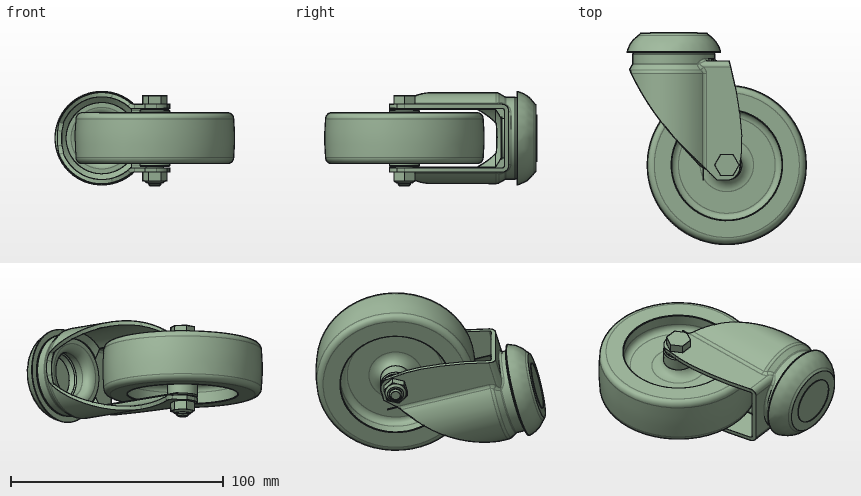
import cadquery as cq
import math


wheel_radius = 37.5
wheel_width = 24.0
tread_crown = 0.4
shoulder_radius = 3.0
recess_radius = 25.9
recess_chamfer = 0.3
recess_corner = 3.2
web_thickness = 6.6
hub_radius = 7.1
hub_length = 26.7
hub_chamfer = 0.6
hub_flare_radius = 12.6
hub_flare_height = 3.4
bush_radius = 4.2

axle_radius = 3.0
hex_across_flats = 10.0
hex_height = 4.1
bolt_tip = 2.4
bolt_tip_chamfer = 0.8
nut_collar_base_radius = 5.0
nut_collar_end_radius = 3.8
nut_collar_height = 1.0

sheet = 2.0
fork_half_width = 15.9
fork_inner_half_width = fork_half_width - sheet
bend_inner_radius = 1.0
bend_outer_radius = bend_inner_radius + sheet
crown_top = 48.9
leg_end = -7.1
swivel_offset = 24.9
shroud_radius = 21.4
shroud_inner_radius = shroud_radius - sheet
neck_radius = 19.3
neck_bore_radius = 16.7
neck_top = 52.0
cone_top = 47.4
cone_bottom = 43.9
inner_cone_top = 45.4
inner_cone_bottom = 42.9
cone_bottom_blend = 3.0
leg_blend_radius = 2.8
crown_blend_radius = 1.1
blend_split_height = 45.8
window_apex = 46.1
window_apex_x = -46.3
front_edge_tip = (-4.6, leg_end)
front_edge_bend = (-19.9, 8.0)
cut_depth = 1.2 * sheet
trim_half_depth = 2 * fork_half_width
trim_front = -59.8
trim_top = 59.8

head_radius = 22.0
head_top = 99.7 - wheel_radius
head_bottom = 52.8
head_rim = 0.4
head_collar_radius = 19.1
dome_middle = (20.1, 57.4)
dome_top = 60.9
dome_top_radius = 16.6
crown_edge_radius = 15.5
boss_radius = 11.0
boss_height = 0.3
seat_face = 45.9
mouth_radius = 14.5
mouth_middle = (11.8, 47.2)
throat_radius = 10.8
throat_height = 50.8
cavity_radius = 12.0
cavity_step_radius = 11.4
cavity_step = 55.8
ceiling_radius = 10.2
ceiling = 58.8


def revolve_about_axle(outline):
    """Turn an outline drawn as (radius, z) about the Z axis."""
    return outline.close().revolve(360, (0, 0, 0), (0, 1, 0))


def revolve_about_swivel(outline):
    """Turn an outline drawn as (radius, y) about the swivel axis."""
    return outline.close().revolve(360, (0, 0, 0), (0, 1, 0)).translate((-swivel_offset, 0, 0))


def make_wheel():
    half_width = wheel_width / 2
    shoulder_start = half_width - shoulder_radius
    edge_radius = wheel_radius - tread_crown
    bulge = shoulder_radius * math.sqrt(0.5)
    core_radius = recess_radius + recess_chamfer
    blank = revolve_about_axle(
        cq.Workplane("XZ")
        .moveTo(axle_radius, -fork_inner_half_width)
        .lineTo(axle_radius, fork_inner_half_width)
        .lineTo(core_radius, fork_inner_half_width)
        .lineTo(core_radius, half_width)
        .lineTo(edge_radius - shoulder_radius, half_width)
        .threePointArc(
            (edge_radius - shoulder_radius + bulge, shoulder_start + bulge),
            (edge_radius, shoulder_start),
        )
        .threePointArc((wheel_radius, 0), (edge_radius, -shoulder_start))
        .threePointArc(
            (edge_radius - shoulder_radius + bulge, -shoulder_start - bulge),
            (edge_radius - shoulder_radius, -half_width),
        )
        .lineTo(core_radius, -half_width)
        .lineTo(core_radius, -fork_inner_half_width)
    )
    recess = wheel_recess()
    return blank.cut(recess).cut(recess.mirror("XY"))


def wheel_recess():
    """Ring-shaped space around the bush and hub on the upper side of the wheel."""
    half_width = wheel_width / 2
    half_web = web_thickness / 2
    half_hub = hub_length / 2
    core_radius = recess_radius + recess_chamfer
    corner_centre = (recess_radius - recess_corner, half_web + recess_corner)
    corner_bulge = recess_corner * math.sqrt(0.5)
    flare_width = hub_flare_radius - hub_radius
    flare_radius = (flare_width**2 + hub_flare_height**2) / (2 * hub_flare_height)
    half_sweep = math.asin(flare_width / flare_radius) / 2
    flare_middle = (
        hub_flare_radius - flare_radius * math.sin(half_sweep),
        half_web + flare_radius * (1 - math.cos(half_sweep)),
    )
    return revolve_about_axle(
        cq.Workplane("XZ")
        .moveTo(bush_radius, fork_inner_half_width)
        .lineTo(bush_radius, half_hub)
        .lineTo(hub_radius - hub_chamfer, half_hub)
        .lineTo(hub_radius, half_hub - hub_chamfer)
        .lineTo(hub_radius, half_web + hub_flare_height)
        .threePointArc(flare_middle, (hub_flare_radius, half_web))
        .lineTo(corner_centre[0], half_web)
        .threePointArc(
            (corner_centre[0] + corner_bulge, corner_centre[1] - corner_bulge),
            (recess_radius, corner_centre[1]),
        )
        .lineTo(recess_radius, half_width - recess_chamfer)
        .lineTo(core_radius, half_width)
        .lineTo(core_radius, fork_inner_half_width)
    )


def hex_prism(bottom):
    corner_diameter = hex_across_flats / math.cos(math.pi / 6)
    return cq.Workplane("XY").workplane(offset=bottom).polygon(6, corner_diameter).extrude(hex_height)


def nut_bottom():
    return -fork_half_width - hex_height


def make_bolt():
    tip = nut_bottom() - bolt_tip
    shank = cq.Workplane("XY").workplane(offset=tip).circle(axle_radius).extrude(fork_half_width - tip)
    shank = shank.faces("<Z").chamfer(bolt_tip_chamfer)
    return shank.union(hex_prism(fork_half_width))


def make_nut():
    collar = revolve_about_axle(
        cq.Workplane("XZ")
        .moveTo(0, nut_bottom())
        .lineTo(nut_collar_base_radius, nut_bottom())
        .lineTo(nut_collar_end_radius, nut_bottom() - nut_collar_height)
        .lineTo(0, nut_bottom() - nut_collar_height)
    )
    nut = hex_prism(nut_bottom()).union(collar)
    return nut.cut(axle_hole())


def axle_hole():
    length = 3 * fork_half_width
    return cq.Workplane("XY").circle(axle_radius).extrude(length, both=True)


def leg_block(start, half_width, top, bend_radius):
    """Block with two rounded top edges, reaching from beside the swivel axis past the legs."""
    length = swivel_offset + wheel_radius - start
    height = top - 2 * leg_end
    return (
        cq.Workplane("XY")
        .box(length, height, 2 * half_width, centered=(False, False, True))
        .edges("|X and >Y")
        .fillet(bend_radius)
        .translate((start - swivel_offset, top - height, 0))
    )


def level_rings(body, height):
    """Long round edges of the shroud that lie flat at one height."""
    edges = body.edges("%CIRCLE").vals()
    flat = [edge for edge in edges if edge.BoundingBox().ylen < 0.01]
    return body.newObject([e for e in flat if abs(e.Center().y - height) < 0.01 and e.Length() > shroud_radius])


def junction_edges(body, bottom, top):
    """Edges where the leg block runs out of the shroud, between two heights."""
    reach = fork_half_width + 1
    zone = cq.selectors.BoxSelector((-15.9, bottom, -reach), (-5, top, reach))
    return body.edges(zone)


def fork_outside():
    shroud = revolve_about_swivel(
        cq.Workplane("XY")
        .moveTo(0, 2 * leg_end)
        .lineTo(shroud_radius, 2 * leg_end)
        .lineTo(shroud_radius, cone_bottom)
        .lineTo(neck_radius, cone_top)
        .lineTo(neck_radius, neck_top)
        .lineTo(0, neck_top)
    )
    body = shroud.union(leg_block(0, fork_half_width, crown_top, bend_outer_radius))
    body = level_rings(body, cone_bottom).fillet(cone_bottom_blend)
    body = junction_edges(body, leg_end, blend_split_height).fillet(leg_blend_radius)
    return junction_edges(body, blend_split_height, 49.8).fillet(crown_blend_radius)


def fork_inside():
    shroud = revolve_about_swivel(
        cq.Workplane("XY")
        .moveTo(0, 2 * leg_end)
        .lineTo(shroud_inner_radius, 2 * leg_end)
        .lineTo(shroud_inner_radius, inner_cone_bottom)
        .lineTo(neck_bore_radius, inner_cone_top)
        .lineTo(neck_bore_radius, neck_top)
        .lineTo(0, neck_top)
    )
    gap_start = fork_inner_half_width
    gap = leg_block(gap_start, fork_inner_half_width, crown_top - sheet, bend_inner_radius)
    return shroud.union(gap)


def leg_outline():
    """Prism along Z that trims the rear edge and the tip of the legs."""
    return (
        cq.Workplane("XY")
        .workplane(offset=-trim_half_depth)
        .moveTo(1.1, trim_top)
        .lineTo(1.1, crown_top)
        .spline([(3.9, 37.5), (6.0, 24.9), (7.1, 12.0), (6.2, 0)], includeCurrent=True)
        .lineTo(5.8, -3.4)
        .threePointArc((4.2, -5.5), (0.7, leg_end))
        .lineTo(trim_front, leg_end)
        .lineTo(trim_front, trim_top)
        .close()
        .extrude(2 * trim_half_depth)
    )


def front_opening(outside):
    """Pieces of the space below the front edge of the fork, with sides square to the sheet."""
    prism = (
        cq.Workplane("XY")
        .workplane(offset=-trim_half_depth)
        .moveTo(*front_edge_tip)
        .lineTo(*front_edge_bend)
        .tangentArcPoint((window_apex_x, window_apex), relative=False)
        .lineTo(trim_front, window_apex)
        .lineTo(trim_front, 2 * leg_end)
        .lineTo(front_edge_tip[0], 2 * leg_end)
        .close()
        .extrude(2 * trim_half_depth)
        .val()
    )
    patches = [face.intersect(prism) for face in outside.faces().vals()]
    faces = [face for patch in patches for face in patch.Faces()]
    return [cq.occ_impl.shapes.offset(face, -cut_depth) for face in faces]


def make_fork():
    outside = fork_outside()
    fork = outside.cut(fork_inside()).intersect(leg_outline())
    for piece in front_opening(outside):
        fork = fork.cut(cq.Workplane(piece))
    return fork.cut(axle_hole())


def make_head():
    return revolve_about_swivel(
        cq.Workplane("XY")
        .moveTo(0, ceiling)
        .lineTo(ceiling_radius, ceiling)
        .lineTo(cavity_step_radius, cavity_step + cavity_radius - cavity_step_radius)
        .lineTo(cavity_radius, cavity_step)
        .lineTo(throat_radius, throat_height)
        .threePointArc(mouth_middle, (mouth_radius, seat_face))
        .lineTo(neck_bore_radius, seat_face)
        .lineTo(neck_bore_radius, neck_top)
        .lineTo(head_collar_radius, neck_top)
        .lineTo(head_collar_radius, head_bottom)
        .lineTo(head_radius, head_bottom)
        .lineTo(head_radius, head_bottom + head_rim)
        .threePointArc(dome_middle, (dome_top_radius, dome_top))
        .lineTo(crown_edge_radius, head_top - boss_height)
        .lineTo(boss_radius, head_top - boss_height)
        .lineTo(boss_radius, head_top)
        .lineTo(0, head_top)
    )


wheel = make_wheel()
bolt = make_bolt()
nut = make_nut()
fork = make_fork()
head = make_head()

result = cq.Compound.makeCompound([wheel.val(), bolt.val(), nut.val(), fork.val(), head.val()])